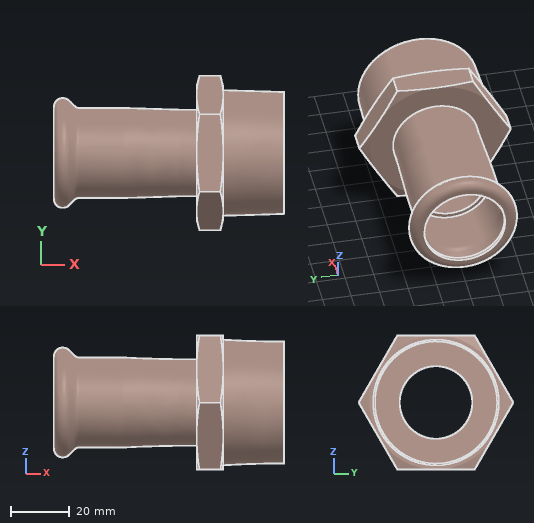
import cadquery as cq
import math


taper_start = 23.9
taper_end = 43.1
hex_start = 49.0
hex_end = 58.1
total_length = 79.0

socket_radius = 31.0 / 2
neck_radius = 29.8 / 2
bore_radius = 24.8 / 2
thread_root_radius = 21.6
thread_tip_radius = 20.9

wall = 1.35
bead_outer_radius = 18.9
bead_arc_radius = 3.1
blend_radius = 2.1
flank_angle = math.radians(45)

across_flats = 46.0
across_corners = across_flats / math.cos(math.radians(30))
corner_chamfer_length = 0.95

socket_inner_radius = socket_radius - wall
bead_x = bead_arc_radius
bead_r = bead_outer_radius - bead_arc_radius
blend_r = socket_radius + blend_radius
flank_run = (bead_arc_radius + blend_radius - (blend_r - bead_r) * math.cos(flank_angle))
blend_x = bead_x + flank_run / math.sin(flank_angle)


def arc_point(x, r, radius, angle):
    """Point on an arc, with the angle measured from the radial direction towards +X."""
    return (x + radius * math.sin(angle), r + radius * math.cos(angle))


def make_outer_body():
    """Solid of revolution: bead, socket, tapered neck and threaded end."""
    blend_side = flank_angle - math.pi
    profile = (
        cq.Workplane("XY")
        .lineTo(0, bead_r)
        .threePointArc(
            arc_point(bead_x, bead_r, bead_arc_radius, 0),
            arc_point(bead_x, bead_r, bead_arc_radius, flank_angle),
        )
        .lineTo(*arc_point(blend_x, blend_r, blend_radius, blend_side))
        .threePointArc(
            arc_point(blend_x, blend_r, blend_radius, blend_side - flank_angle / 2),
            (blend_x, socket_radius),
        )
        .lineTo(taper_start, socket_radius)
        .lineTo(taper_end, neck_radius)
        .lineTo(hex_end, neck_radius)
        .lineTo(hex_end, thread_root_radius)
        .lineTo(total_length, thread_tip_radius)
        .lineTo(total_length, 0)
        .close()
    )
    return profile.revolve(360, (0, 0, 0), (1, 0, 0))


def make_hexagon():
    """Hexagon with corners on Y, chamfered at the corners on both faces."""
    hexagon = (
        cq.Workplane("YZ", origin=(hex_start, 0, 0))
        .polygon(6, across_corners)
        .extrude(hex_end - hex_start)
    )
    chamfer_envelope = (
        cq.Workplane("XY")
        .moveTo(hex_start, 0)
        .lineTo(hex_start, across_flats / 2)
        .lineTo(hex_start + corner_chamfer_length, across_corners / 2)
        .lineTo(hex_end - corner_chamfer_length, across_corners / 2)
        .lineTo(hex_end, across_flats / 2)
        .lineTo(hex_end, 0)
        .close()
        .revolve(360, (0, 0, 0), (1, 0, 0))
    )
    return hexagon.intersect(chamfer_envelope)


def make_cavity():
    """Socket with an internal seal groove inside the bead, then a stepped through bore."""
    inner_arc_radius = bead_arc_radius - wall
    inner_blend_radius = blend_radius + wall
    blend_side = flank_angle - math.pi
    profile = (
        cq.Workplane("XY")
        .lineTo(0, socket_inner_radius)
        .lineTo(wall, socket_inner_radius)
        .lineTo(wall, bead_r)
        .threePointArc(
            arc_point(bead_x, bead_r, inner_arc_radius, 0),
            arc_point(bead_x, bead_r, inner_arc_radius, flank_angle),
        )
        .lineTo(*arc_point(blend_x, blend_r, inner_blend_radius, blend_side))
        .threePointArc(
            arc_point(blend_x, blend_r, inner_blend_radius, blend_side - flank_angle / 2),
            (blend_x, socket_inner_radius),
        )
        .lineTo(taper_start, socket_inner_radius)
        .lineTo(taper_start, bore_radius)
        .lineTo(total_length, bore_radius)
        .lineTo(total_length, 0)
        .close()
    )
    return profile.revolve(360, (0, 0, 0), (1, 0, 0))


result = make_outer_body().union(make_hexagon()).cut(make_cavity())